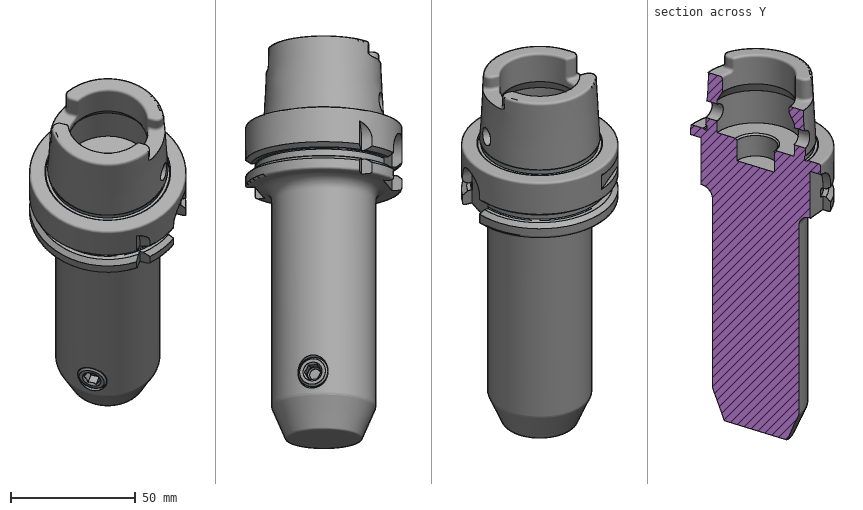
import cadquery as cq
import math

taper_height = 32.0
body_length = 130.0
position_tolerance = 0.01
tiny_overlap = 1.0

taper_base_radius = 24.2
taper_base_z = 1.9
taper_slope = 0.05
taper_top_radius = taper_base_radius - taper_slope * (taper_height - taper_base_z)
undercut_radius = 23.7
undercut_depth = 0.4
undercut_chamfer = 0.5
undercut_outer_radius = 25.3

flange_radius = 31.5
flange_width = 26.0
flange_round = 1.0
groove_center_z = -18.0
groove_mouth_width = 6.8
groove_floor_width = 3.6
groove_shoulder_radius = 29.4
groove_floor_radius = 27.4
groove_fillet = 0.4

shank_radius = 21.0
shank_fillet = 5.0
nose_start_z = -116.7
nose_shoulder_round = 2.3
nose_end_radius = 15.3
nose_edge_round = 1.0

rim_round = 1.1
bore_radius = 16.0
bore_step_z = 19.0
lower_bore_radius = 18.5
clamping_cone_angle = 30.0
bore_floor_z = 0.0
coolant_radius = 8.9
coolant_chamfer = 0.7
coolant_depth = 10.0

keyway_width = 12.54
keyway_relief_x = 20.5
keyway_corner_radius = 3.0
keyway_floor_fillet = 1.3
keyway_deep = 10.0
keyway_shallow = 6.0
cross_hole_diameter = 7.5
cross_hole_z = 9.0

left_slot_width = 18.0
right_slot_width = 16.0
slot_floor = 26.4
slot_top_z = -4.8
notch_width = 16.0
notch_floor = 20.0
notch_center_y = -28.0
notch_center_z = -12.2
flat_distance = 29.9
flat_top_z = -3.8
flat_height = 6.5
flat_angle = 135.0

screw_z = -107.3
screw_radius = 6.1
screw_end_chamfer = 0.8
seat_mouth_radius = 6.9
seat_depth = 1.1
socket_edge_radius = 3.9
hex_across_flats = 6.0
hex_depth = 4.5
socket_end_radius = 2.35
socket_cone_depth = 0.8


def make_body():
    """Solid of revolution: taper, undercut, flange with groove, shank and nose."""
    mouth = groove_mouth_width / 2
    floor = groove_floor_width / 2
    outline = (
        cq.Workplane("XZ")
        .moveTo(0, taper_height)
        .lineTo(taper_top_radius, taper_height)
        .lineTo(taper_base_radius, taper_base_z)
        .lineTo(undercut_radius, taper_base_z - undercut_chamfer)
        .lineTo(undercut_radius, -undercut_depth)
        .lineTo(undercut_outer_radius - undercut_depth, -undercut_depth)
        .lineTo(undercut_outer_radius, 0)
        .lineTo(flange_radius - flange_round, 0)
        .radiusArc((flange_radius, -flange_round), flange_round)
        .lineTo(flange_radius, groove_center_z + mouth)
        .lineTo(groove_shoulder_radius, groove_center_z + floor)
        .lineTo(groove_floor_radius + groove_fillet, groove_center_z + floor)
        .radiusArc((groove_floor_radius, groove_center_z + floor - groove_fillet), -groove_fillet)
        .lineTo(groove_floor_radius, groove_center_z - floor + groove_fillet)
        .radiusArc((groove_floor_radius + groove_fillet, groove_center_z - floor), -groove_fillet)
        .lineTo(groove_shoulder_radius, groove_center_z - floor)
        .lineTo(flange_radius, groove_center_z - mouth)
        .lineTo(flange_radius, flange_round - flange_width)
        .radiusArc((flange_radius - flange_round, -flange_width), flange_round)
        .lineTo(shank_radius + shank_fillet, -flange_width)
        .radiusArc((shank_radius, -flange_width - shank_fillet), -shank_fillet)
        .lineTo(shank_radius, nose_start_z)
        .lineTo(nose_end_radius, -body_length)
        .lineTo(0, -body_length)
        .close()
    )
    body = outline.revolve(360, (0, 0, 0), (0, 1, 0))
    body = body.faces("<Z").edges().fillet(nose_edge_round)
    body = body.edges(cq.selectors.BoxSelector(
        (-flange_radius, -flange_radius, nose_start_z - tiny_overlap),
        (flange_radius, flange_radius, nose_start_z + tiny_overlap),
    ) & cq.selectors.StringSyntaxSelector("%CIRCLE")).fillet(nose_shoulder_round)
    return body.rotate((0, 0, 0), (0, 0, 1), -90)


def make_bore():
    """Bore of the hollow taper, wider below its clamping cone, with a blind coolant hole in its floor."""
    cone_height = (lower_bore_radius - bore_radius) / math.tan(math.radians(clamping_cone_angle))
    return (
        cq.Workplane("XZ")
        .moveTo(0, taper_height)
        .lineTo(bore_radius, taper_height)
        .lineTo(bore_radius, bore_step_z)
        .lineTo(lower_bore_radius, bore_step_z - cone_height)
        .lineTo(lower_bore_radius, bore_floor_z)
        .lineTo(coolant_radius + coolant_chamfer, bore_floor_z)
        .lineTo(coolant_radius, bore_floor_z - coolant_chamfer)
        .lineTo(coolant_radius, bore_floor_z - coolant_depth)
        .lineTo(0, bore_floor_z - coolant_depth)
        .close()
        .revolve(360, (0, 0, 0), (0, 1, 0))
    )


def make_keyway(depth):
    """Cutter for the +X keyway: a straight gap that opens outward round convex corners."""
    half = keyway_width / 2
    corner = keyway_corner_radius
    start_x = bore_radius / 2
    outer = taper_base_radius + tiny_overlap
    cutter = (
        cq.Workplane("XY", origin=(0, 0, taper_height - depth))
        .moveTo(start_x, -half)
        .lineTo(keyway_relief_x - corner, -half)
        .radiusArc((keyway_relief_x, -half - corner), corner)
        .lineTo(keyway_relief_x, -outer)
        .lineTo(outer, -outer)
        .lineTo(outer, outer)
        .lineTo(keyway_relief_x, outer)
        .lineTo(keyway_relief_x, half + corner)
        .radiusArc((keyway_relief_x - corner, half), corner)
        .lineTo(start_x, half)
        .close()
        .extrude(depth + tiny_overlap)
    )
    return cutter.faces("<Z").edges().fillet(keyway_floor_fillet)


def make_slot(width, floor_x, center_y, center_z):
    """Cutter for a +X flange slot: round top, open at the lower face of the flange."""
    radius = width / 2
    return (
        cq.Workplane("YZ", origin=(floor_x, 0, 0))
        .moveTo(center_y - radius, -flange_width)
        .lineTo(center_y - radius, center_z)
        .threePointArc((center_y, center_z + radius), (center_y + radius, center_z))
        .lineTo(center_y + radius, -flange_width)
        .close()
        .extrude(flange_radius)
    )


def make_flat():
    """Cutter for the short flat milled on the rim of the flange."""
    return (
        cq.Workplane("XY")
        .box(flange_radius, 2 * flange_radius, flat_height, centered=(False, True, False))
        .translate((flat_distance, 0, flat_top_z - flat_height))
        .rotate((0, 0, 0), (0, 0, 1), flat_angle)
    )


def round_rim(head):
    """Round the end face edges, and the bore edges where the keyways open into it."""
    def on_bore(edge):
        points = [edge.positionAt(t) for t in (0, 0.5, 1)]
        return all(
            abs(math.hypot(p.x, p.y) - bore_radius) < position_tolerance and p.z > keyway_floor_z
            for p in points
        )

    keyway_floor_z = taper_height - keyway_deep - position_tolerance
    end_edges = head.faces(">Z").edges().vals()
    mouth_edges = [
        edge for edge in head.edges().vals()
        if on_bore(edge) and not any(edge.isSame(other) for other in end_edges)
    ]
    return head.newObject(end_edges + mouth_edges).fillet(rim_round)


def screw_cone(radius, end_radius, depth, height):
    """Cone on the screw axis; it starts `depth` below the shank surface and runs inward."""
    start = cq.Vector(0, depth - shank_radius, screw_z)
    return cq.Workplane(cq.Solid.makeCone(radius, end_radius, height, start, cq.Vector(0, 1, 0)))


def make_screw():
    """Chamfered screw end facing -Y, and the cutter for its hexagon socket."""
    hex_radius = hex_across_flats / 2
    plug = (
        cq.Workplane("XZ", origin=(0, -shank_radius, screw_z))
        .circle(screw_radius)
        .extrude(-shank_radius / 2)
        .faces("<Y")
        .chamfer(screw_end_chamfer)
    )
    socket = (
        cq.Workplane("XZ", origin=(0, -shank_radius, screw_z))
        .transformed(rotate=(0, 0, 90))
        .polygon(6, hex_across_flats, circumscribed=True)
        .extrude(-hex_depth)
    )
    socket_edge = screw_cone(socket_edge_radius, hex_radius, 0, socket_edge_radius - hex_radius)
    socket_end = screw_cone(hex_radius, socket_end_radius, hex_depth, socket_cone_depth)
    return plug, socket.union(socket_edge).union(socket_end)


def add_screw(body):
    """Countersink the shank, fit the set screw and cut its socket."""
    countersink = screw_cone(seat_mouth_radius, screw_radius, 0, seat_depth)
    plug, socket = make_screw()
    return body.cut(countersink).union(plug).cut(socket)


result = make_body().cut(make_bore())
result = result.cut(make_keyway(keyway_shallow))
result = result.cut(make_keyway(keyway_deep).rotate((0, 0, 0), (0, 0, 1), 180))
result = round_rim(result)
result = result.cut(
    cq.Workplane("YZ").center(0, cross_hole_z).circle(cross_hole_diameter / 2)
    .extrude(taper_base_radius + tiny_overlap, both=True)
)
result = result.cut(make_slot(right_slot_width, slot_floor, 0, slot_top_z - right_slot_width / 2))
left_slot = make_slot(left_slot_width, slot_floor, 0, slot_top_z - left_slot_width / 2)
result = result.cut(left_slot.rotate((0, 0, 0), (0, 0, 1), 180))
result = result.cut(make_slot(notch_width, notch_floor, notch_center_y, notch_center_z))
result = result.cut(make_flat())
result = add_screw(result)